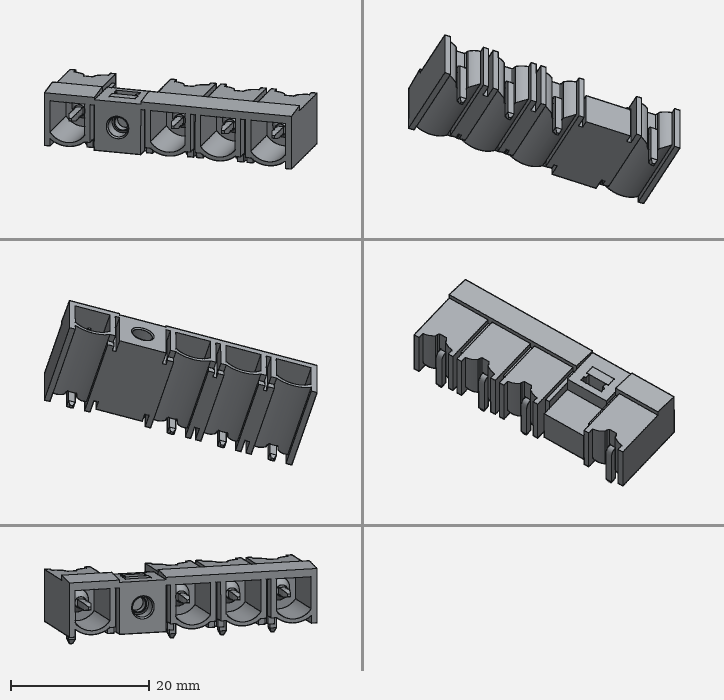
import cadquery as cq
import math

LENGTH = 37.48
FIRST_CENTER = 3.5
LAST_MARGIN = 3.52
STATIONS = 5
FLANGE_STATION = 1
PITCH = (LENGTH - FIRST_CENTER - LAST_MARGIN) / (STATIONS - 1)
POLE_STATIONS = [i for i in range(STATIONS) if i != FLANGE_STATION]
FIRST_POLE = POLE_STATIONS[0]
LAST_POLE = POLE_STATIONS[-1]

DEPTH = 12.65
FRONT_DRAFT = 0.07
BODY_TOP = 7.7
POLE_HALF_WIDTH = 3.45
POCKET_HALF_WIDTH = 2.62
POCKET_TOP = 6.85
POCKET_SIDE_BOTTOM = 2.15
POCKET_BOTTOM = 0.8
POCKET_DEPTH = 7.87
BELLY_EDGE = 1.12
BELLY_BOTTOM = 0.2
LEG_FRONT = 1.12
FOOT_HALF_WIDTH = 3.55

POST_FRONT = 11.73
OPENING_MID = (1.57, 11.45)
OPENING_NECK_TOP = (0.9, 11.0)
OPENING_NECK_BOTTOM = (0.82, 10.65)
OPENING_FLOOR = (0.65, 10.35)

BAR_DEPTH = 4.05
BAR_FLAT = 0.22
BAR_TOP = 8.45
BAR_FRONT_TOP = 8.02

WEB_FRONT = 1.87
WEB_REAR = 10.72
WEB_TOP = POCKET_TOP

FLANGE_HALF_WIDTH = 3.52
FLANGE_HEAD_DEPTH = 6.3
FLANGE_DEPTH = 11.95
FLANGE_REAR_TOP = 5.32

AXIS_Z = 3.82
SCREW_DIAMETER = 3.0
SCREW_MOUTH_DIAMETER = 3.5

NUT_WIDTH = 3.9
NUT_FRONT = 2.25
NUT_REAR = 3.7
NUT_BOTTOM = AXIS_Z - NUT_WIDTH / 2
NUT_HOLE_DIAMETER = 2.25
NUT_MOUTH_DIAMETER = 2.5
SLOT_NECK_WIDTH = 3.0
SLOT_NECK_REAR = 4.5
SLOT_WIDTH = 3.67
SLOT_REAR = 5.3
SLOT_FLOOR_REAR = 5.17

COLLAR_BASE_DIAMETER = 3.5
COLLAR_SHOULDER_DIAMETER = 2.02
COLLAR_TIP_DIAMETER = 1.72
COLLAR_CONE_LENGTH = 1.5
COLLAR_LENGTH = 1.87

PIN_WIDTH = 1.0
PIN_POINT_WIDTH = 0.4
PIN_TAPER = 0.67
PIN_FRONT_TAPER = 1.12
PIN_BOTTOM = -3.15
PIN_REAR = OPENING_FLOOR[1] + PIN_WIDTH
PIN_BEND_RADIUS = 0.97
LONG_PIN_FRONT = 1.45
PIN_FRONT = 2.47


def station_x(station):
    return FIRST_CENTER + station * PITCH


def half_width(station):
    return FLANGE_HALF_WIDTH if station == FLANGE_STATION else POLE_HALF_WIDTH


def box(x0, x1, y0, y1, z0, z1):
    return cq.Workplane("XY").box(x1 - x0, y1 - y0, z1 - z0, centered=False).translate((x0, y0, z0))


def extrude_back(profile, y0, y1):
    """Extrude a closed XZ profile from y0 back to y1."""
    return profile.extrude(-(y1 - y0)).translate((0, y0, 0))


def cone(x, y, base_diameter, tip_diameter, length):
    """Cone frustum along Y, with its base at y; a negative length points it forward."""
    base = cq.Vector(x, y, AXIS_Z)
    direction = cq.Vector(0, math.copysign(1, length), 0)
    return cq.Workplane(cq.Solid.makeCone(base_diameter / 2, tip_diameter / 2, abs(length), base, direction))


def cylinder(x, diameter, y0, y1):
    return extrude_back(cq.Workplane("XZ").center(x, AXIS_Z).circle(diameter / 2), y0, y1)


def pole_block(station):
    """Pole body with its rounded underside, its legs and any end wall."""
    x = station_x(station)
    left = 0 if station == FIRST_POLE else x - POLE_HALF_WIDTH
    right = LENGTH if station == LAST_POLE else x + POLE_HALF_WIDTH
    block = box(left, right, 0, DEPTH, BELLY_EDGE, BODY_TOP)

    belly = (
        cq.Workplane("XZ")
        .moveTo(x - POCKET_HALF_WIDTH, BELLY_EDGE)
        .threePointArc((x, BELLY_BOTTOM), (x + POCKET_HALF_WIDTH, BELLY_EDGE))
        .close()
    )
    block = block.union(extrude_back(belly, 0, DEPTH))

    left_leg_front = 0 if station == FIRST_POLE else LEG_FRONT
    right_leg_front = 0 if station == LAST_POLE else LEG_FRONT
    block = block.union(box(left, x - POCKET_HALF_WIDTH, left_leg_front, DEPTH, 0, BELLY_EDGE))
    block = block.union(box(x + POCKET_HALF_WIDTH, right, right_leg_front, DEPTH, 0, BELLY_EDGE))

    if station != FIRST_POLE:
        left_foot = box(x - FOOT_HALF_WIDTH, x - POCKET_HALF_WIDTH, LEG_FRONT, WEB_REAR, 0, BELLY_EDGE)
        block = block.union(left_foot)
    if station != LAST_POLE:
        right_foot = box(x + POCKET_HALF_WIDTH, x + FOOT_HALF_WIDTH, LEG_FRONT, WEB_REAR, 0, BELLY_EDGE)
        block = block.union(right_foot)
    return block


def pole_pocket(station):
    """Round-bottomed socket, open to the front, with a conical collar left standing in it."""
    x = station_x(station)
    profile = (
        cq.Workplane("XZ")
        .moveTo(x - POCKET_HALF_WIDTH, POCKET_SIDE_BOTTOM)
        .threePointArc((x, POCKET_BOTTOM), (x + POCKET_HALF_WIDTH, POCKET_SIDE_BOTTOM))
        .lineTo(x + POCKET_HALF_WIDTH, POCKET_TOP)
        .lineTo(x - POCKET_HALF_WIDTH, POCKET_TOP)
        .close()
    )
    shoulder_y = POCKET_DEPTH - COLLAR_CONE_LENGTH
    tip_length = COLLAR_LENGTH - COLLAR_CONE_LENGTH
    collar_base = cone(x, POCKET_DEPTH, COLLAR_BASE_DIAMETER, COLLAR_SHOULDER_DIAMETER, -COLLAR_CONE_LENGTH)
    collar_tip = cone(x, shoulder_y, COLLAR_SHOULDER_DIAMETER, COLLAR_TIP_DIAMETER, -tip_length)
    return extrude_back(profile, 0, POCKET_DEPTH).cut(collar_base).cut(collar_tip)


def rear_opening(station):
    """Full-height opening with curved flanks behind a pole, where the pin bends down."""
    x = station_x(station)
    mid_x, mid_y = OPENING_MID
    top_x, top_y = OPENING_NECK_TOP
    bottom_x, bottom_y = OPENING_NECK_BOTTOM
    floor_x, floor_y = OPENING_FLOOR
    return (
        cq.Workplane("XY")
        .moveTo(x - POCKET_HALF_WIDTH, DEPTH)
        .lineTo(x - POCKET_HALF_WIDTH, POST_FRONT)
        .threePointArc((x - mid_x, mid_y), (x - top_x, top_y))
        .lineTo(x - bottom_x, bottom_y)
        .lineTo(x - floor_x, floor_y)
        .lineTo(x + floor_x, floor_y)
        .lineTo(x + bottom_x, bottom_y)
        .lineTo(x + top_x, top_y)
        .threePointArc((x + mid_x, mid_y), (x + POCKET_HALF_WIDTH, POST_FRONT))
        .lineTo(x + POCKET_HALF_WIDTH, DEPTH)
        .close()
        .extrude(BODY_TOP)
    )


def top_bar():
    """Sloped bar along the whole front, interrupted at the flange."""
    bar = (
        cq.Workplane("YZ")
        .moveTo(0, POCKET_TOP)
        .lineTo(0, BAR_FRONT_TOP)
        .lineTo(BAR_DEPTH - BAR_FLAT, BAR_TOP)
        .lineTo(BAR_DEPTH, BAR_TOP)
        .lineTo(BAR_DEPTH, POCKET_TOP)
        .close()
        .extrude(LENGTH)
    )
    x = station_x(FLANGE_STATION)
    return bar.cut(box(x - FLANGE_HALF_WIDTH, x + FLANGE_HALF_WIDTH, 0, BAR_DEPTH, BODY_TOP, BAR_TOP))


def webs():
    """Walls that fill the gaps between neighbouring stations."""
    walls = cq.Workplane("XY")
    for station in range(STATIONS - 1):
        left = station_x(station) + half_width(station)
        right = station_x(station + 1) - half_width(station + 1)
        walls = walls.add(box(left, right, WEB_FRONT, WEB_REAR, 0, WEB_TOP))
    return walls.combine()


def front_draft():
    """Thin wedge taken off the front so that the face leans back towards the top."""
    wedge = cq.Workplane("YZ").moveTo(0, 0).lineTo(0, BAR_TOP).lineTo(FRONT_DRAFT, BAR_TOP).close()
    return wedge.extrude(LENGTH)


def flange_block():
    x = station_x(FLANGE_STATION)
    left = x - FLANGE_HALF_WIDTH
    right = x + FLANGE_HALF_WIDTH
    head = box(left, right, 0, FLANGE_HEAD_DEPTH, 0, BODY_TOP)
    return head.union(box(left, right, FLANGE_HEAD_DEPTH, FLANGE_DEPTH, 0, FLANGE_REAR_TOP))


def flange_cuts():
    """Screw hole, nut seat and the T-shaped slot behind the nut."""
    x = station_x(FLANGE_STATION)
    mouth_depth = (SCREW_MOUTH_DIAMETER - SCREW_DIAMETER) / 2
    cuts = cylinder(x, SCREW_DIAMETER, 0, NUT_FRONT)
    cuts = cuts.union(cone(x, 0, SCREW_MOUTH_DIAMETER, SCREW_DIAMETER, mouth_depth))
    for width, front, rear in (
        (NUT_WIDTH, NUT_FRONT, NUT_REAR),
        (SLOT_NECK_WIDTH, NUT_REAR, SLOT_NECK_REAR),
    ):
        cuts = cuts.union(box(x - width / 2, x + width / 2, front, rear, NUT_BOTTOM, BODY_TOP))
    slot = (
        cq.Workplane("YZ")
        .moveTo(SLOT_NECK_REAR, NUT_BOTTOM)
        .lineTo(SLOT_FLOOR_REAR, NUT_BOTTOM)
        .lineTo(SLOT_REAR, BODY_TOP)
        .lineTo(SLOT_NECK_REAR, BODY_TOP)
        .close()
        .extrude(SLOT_WIDTH)
        .translate((x - SLOT_WIDTH / 2, 0, 0))
    )
    return cuts.union(slot)


def make_pin(station):
    """Square pin that runs back from its point, bends, and ends in a point below the housing."""
    x = station_x(station)
    half = PIN_WIDTH / 2
    front = LONG_PIN_FRONT if station == FIRST_POLE else PIN_FRONT
    top = AXIS_Z + half
    leg_y = PIN_REAR - half
    arm = box(x - half, x + half, front + PIN_FRONT_TAPER, PIN_REAR, AXIS_Z - half, top)
    leg = box(x - half, x + half, PIN_REAR - PIN_WIDTH, PIN_REAR, PIN_BOTTOM + PIN_TAPER, top)
    bent = arm.union(leg).edges("|X and >Y and >Z").fillet(PIN_BEND_RADIUS)
    front_point = (
        cq.Workplane("XZ", origin=(x, front + PIN_FRONT_TAPER, AXIS_Z))
        .rect(PIN_WIDTH, PIN_WIDTH)
        .workplane(offset=PIN_FRONT_TAPER)
        .rect(PIN_POINT_WIDTH, PIN_POINT_WIDTH)
        .loft()
    )
    bottom_point = (
        cq.Workplane("XY", origin=(x, leg_y, PIN_BOTTOM))
        .rect(PIN_POINT_WIDTH, PIN_POINT_WIDTH)
        .workplane(offset=PIN_TAPER)
        .rect(PIN_WIDTH, PIN_WIDTH)
        .loft()
    )
    return bent.union(front_point).union(bottom_point)


def make_nut():
    """Tall nut plate, flush with the top of the flange, with a countersunk hole."""
    x = station_x(FLANGE_STATION)
    mouth_depth = (NUT_MOUTH_DIAMETER - NUT_HOLE_DIAMETER) / 2
    plate = box(x - NUT_WIDTH / 2, x + NUT_WIDTH / 2, NUT_FRONT, NUT_REAR, NUT_BOTTOM, BODY_TOP)
    plate = plate.cut(cylinder(x, NUT_HOLE_DIAMETER, NUT_FRONT, NUT_REAR))
    return plate.cut(cone(x, NUT_FRONT, NUT_MOUTH_DIAMETER, NUT_HOLE_DIAMETER, mouth_depth))


def make_housing(pins):
    body = top_bar().union(webs()).union(flange_block())
    for station in POLE_STATIONS:
        body = body.union(pole_block(station))
    for station in POLE_STATIONS:
        body = body.cut(pole_pocket(station)).cut(rear_opening(station))
    body = body.cut(flange_cuts()).cut(front_draft())
    for pin in pins:
        body = body.cut(pin)
    return body


pins = [make_pin(station) for station in POLE_STATIONS]
nut = make_nut()
housing = make_housing(pins)

result = cq.Compound.makeCompound([housing.val(), nut.val(), *[pin.val() for pin in pins]])